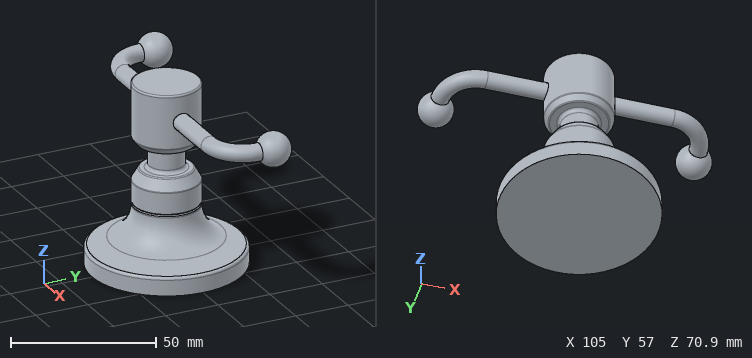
import cadquery as cq
import math

base_radius = 28.5
base_rim_height = 6.0
base_edge_radius = 27.5
base_edge_height = 7.0
flare_foot_radius = 20.6
flare_foot_height = 10.0
flare_top_height = 22.1
body_radius = 12.3
groove_radius = 11.9
groove_height = 23.1
groove_half_width = 0.4
collar_top_height = 31.6
shoulder_radius = 9.8
shoulder_height = 36.0
neck_radius = 6.6
neck_flare = 1.0
neck_flare_height = 1.6
head_bottom_height = 45.5
head_bottom_radius = 10.5
head_chamfer_height = 2.4
head_top_height = 67.4
dome_radius = 11.8
dome_base_height = 68.1
total_height = 70.9
corner_round = 0.6

overall_width = 105.0
rod_radius = 3.3
rod_height = 57.7
ball_radius = 6.4
bend_radius = 12.7
ball_x = overall_width / 2 - ball_radius
ball_y = bend_radius + math.sqrt(ball_radius**2 - rod_radius**2)

diagonal = math.sqrt(0.5)


def make_post():
    """Revolve the stepped post around Z."""
    flare_width = flare_foot_radius - body_radius
    flare_drop = flare_top_height - flare_foot_height
    flare_arc = (flare_width**2 + flare_drop**2) / (2 * flare_width)
    half_angle = math.asin(flare_drop / flare_arc) / 2
    flare_middle = (
        body_radius + flare_arc * (1 - math.cos(half_angle)),
        flare_top_height - flare_arc * math.sin(half_angle),
    )

    dome_rise = total_height - dome_base_height
    dome_sphere = (dome_radius**2 + dome_rise**2) / (2 * dome_rise)
    dome_middle_radius = dome_radius / 2
    dome_middle = (
        dome_middle_radius,
        total_height - dome_sphere + math.sqrt(dome_sphere**2 - dome_middle_radius**2),
    )

    base_edge_middle = (
        base_edge_radius + (base_radius - base_edge_radius) * diagonal,
        base_rim_height + (base_edge_height - base_rim_height) * diagonal,
    )
    head_edge_middle = (
        dome_radius + (body_radius - dome_radius) * diagonal,
        head_top_height + (dome_base_height - head_top_height) * diagonal,
    )
    fillet_radius = neck_radius + neck_flare * (1 - diagonal)
    fillet_inset = neck_flare_height * (1 - diagonal)
    profile = (
        cq.Workplane("XZ")
        .lineTo(base_radius, 0)
        .lineTo(base_radius, base_rim_height)
        .threePointArc(base_edge_middle, (base_edge_radius, base_edge_height))
        .lineTo(flare_foot_radius, flare_foot_height)
        .threePointArc(flare_middle, (body_radius, flare_top_height))
        .lineTo(body_radius, groove_height - groove_half_width)
        .lineTo(groove_radius, groove_height)
        .lineTo(body_radius, groove_height + groove_half_width)
        .lineTo(body_radius, collar_top_height)
        .lineTo(shoulder_radius, shoulder_height)
        .lineTo(neck_radius + neck_flare, shoulder_height)
        .threePointArc(
            (fillet_radius, shoulder_height + fillet_inset),
            (neck_radius, shoulder_height + neck_flare_height),
        )
        .lineTo(neck_radius, head_bottom_height - neck_flare_height)
        .threePointArc(
            (fillet_radius, head_bottom_height - fillet_inset),
            (neck_radius + neck_flare, head_bottom_height),
        )
        .lineTo(head_bottom_radius, head_bottom_height)
        .lineTo(body_radius, head_bottom_height + head_chamfer_height)
        .lineTo(body_radius, head_top_height)
        .threePointArc(head_edge_middle, (dome_radius, dome_base_height))
        .threePointArc(dome_middle, (0, total_height))
        .close()
    )
    post = profile.revolve(360, (0, 0, 0), (0, 1, 0))
    return round_corners(post)


def round_corners(post):
    """Soften the corners of the collar cone and of the chamfer under the head."""
    corners = (
        (body_radius, collar_top_height),
        (shoulder_radius, shoulder_height),
        (head_bottom_radius, head_bottom_height),
        (body_radius, head_bottom_height + head_chamfer_height),
    )
    margin = 0.05
    for radius, height in corners:
        ring = cq.selectors.BoxSelector(
            (-radius - margin, -radius - margin, height - margin),
            (radius + margin, radius + margin, height + margin),
            boundingbox=True,
        )
        outer_edge = post.edges(ring).edges("%CIRCLE").edges(cq.selectors.RadiusNthSelector(-1))
        post = outer_edge.fillet(corner_round)
    return post


def make_arm(side):
    """Sweep one rod out of the head and around its bend, then add the ball."""
    bend_start = side * (ball_x - bend_radius)
    bend_middle = (bend_start + side * bend_radius * diagonal, bend_radius * (1 - diagonal))
    path = (
        cq.Workplane("XY", origin=(0, 0, rod_height))
        .lineTo(bend_start, 0)
        .threePointArc(bend_middle, (side * ball_x, bend_radius))
        .lineTo(side * ball_x, ball_y)
    )
    rod = cq.Workplane("YZ").center(0, rod_height).circle(rod_radius).sweep(path)
    ball = cq.Workplane("XY").sphere(ball_radius).translate((side * ball_x, ball_y, rod_height))
    return rod.union(ball)


result = make_post()
for side in (-1, 1):
    result = result.union(make_arm(side))